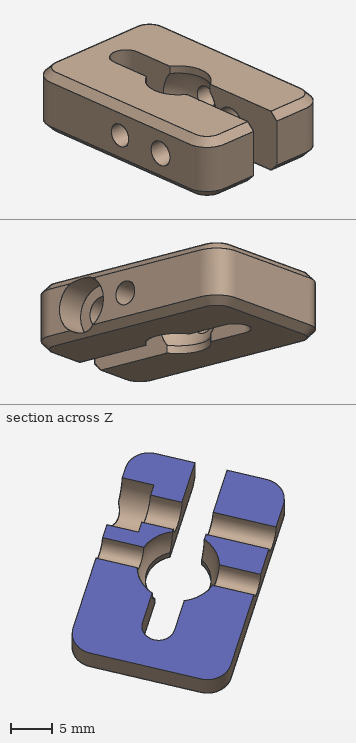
import cadquery as cq

length = 30.0
width = length * 2 / 3
height = width * 2 / 5
corner_radius = height * 3 / 8
edge_chamfer = corner_radius / 3

slot_width = height / 2
slot_end_wall = slot_width
socket_opening_diameter = height
socket_ball_diameter = length / 3

pin_hole_diameter = 3.0
screw_x = 7.0
screw_thread_diameter = 3.25
screw_clearance_diameter = 4.0
screw_head_diameter = 7.0
screw_head_depth = 4.0


def hole_from_back(x, diameter, depth):
    """Cylinder along Y that starts at the +Y face and runs inward."""
    return (
        cq.Workplane("XZ", origin=(x, width / 2, 0))
        .circle(diameter / 2)
        .extrude(depth)
    )


def make_body():
    """Rounded block, centred on the origin, chamfered at top and bottom."""
    block = cq.Workplane("XY").box(length, width, height)
    rounded = block.edges("|Z").fillet(corner_radius)
    return rounded.faces("<Z or >Z").edges().chamfer(edge_chamfer)


def make_slot():
    """Vertical slot with a round closed end, open at the +X side."""
    slot_start = -length / 2 + slot_end_wall
    end_centre_x = slot_start + slot_width / 2
    straight_length = length / 2 - end_centre_x
    straight = (
        cq.Workplane("XY")
        .box(straight_length, slot_width, height)
        .translate((end_centre_x + straight_length / 2, 0, 0))
    )
    round_end = (
        cq.Workplane("XY", origin=(end_centre_x, 0, -height / 2))
        .circle(slot_width / 2)
        .extrude(height)
    )
    return straight.union(round_end)


def make_socket():
    """Spherical cavity reached through round openings above and below."""
    opening = (
        cq.Workplane("XY", origin=(0, 0, -height / 2))
        .circle(socket_opening_diameter / 2)
        .extrude(height)
    )
    ball = cq.Workplane("XY").sphere(socket_ball_diameter / 2)
    return opening.union(ball)


result = make_body().cut(make_slot()).cut(make_socket())

result = result.cut(hole_from_back(0, pin_hole_diameter, width))

result = result.cut(hole_from_back(screw_x, screw_thread_diameter, width))
result = result.cut(hole_from_back(screw_x, screw_clearance_diameter, width / 2))
result = result.cut(hole_from_back(screw_x, screw_head_diameter, screw_head_depth))